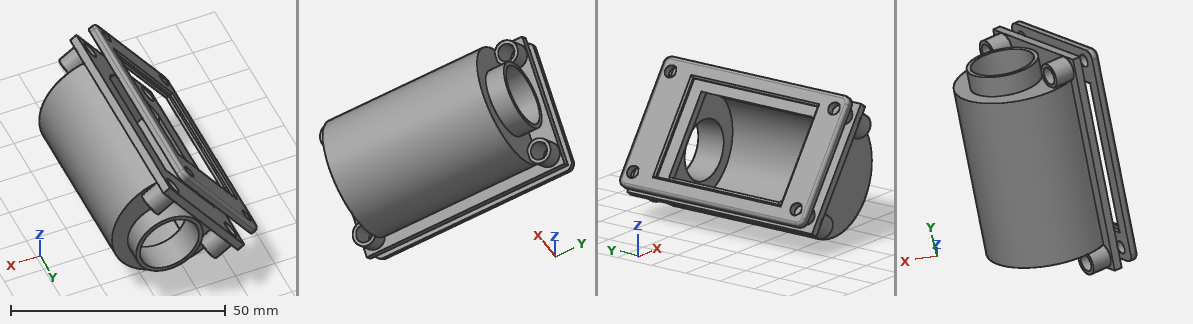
import cadquery as cq
import math

TILT = 55.0

length = 54.0
width = 33.05
screw_x = 23.85
screw_y = 12.75
screw_points = [(sx * screw_x, sy * screw_y) for sx in (-1, 1) for sy in (-1, 1)]

bezel_thickness = 2.0
bezel_gap = 3.1
bezel_front = -bezel_gap - bezel_thickness
corner_radius = 2.0
front_fillet = 0.8
bezel_hole_diameter = 3.1
window_start = -19.5
window_end = 17.95
window_length = window_end - window_start
window_center = (window_start + window_end) / 2
window_width = 26.05
window_chamfer = 0.5
glass_recess_depth = bezel_thickness / 2
glass_recess_margin = 0.45

plate_thickness = 2.0
shell_radius = 15.0
shell_half_length = 21.05
axis_depth = 8.05
shell_wall = 1.5
cavity_radius = shell_radius - shell_wall
cavity_start = -shell_half_length + shell_wall
cavity_end = 18.5
pocket_depth = 10.5
opening_end = 17.15
opening_radius = window_width / 2
opening_arc_center = -7.8
boss_diameter = 6.0
boss_height = 5.0
insert_diameter = 4.2
tube_outer_diameter = 17.0
tube_bore_diameter = 15.0
tube_end = 26.0
tube_depth = 11.1


def slab(x_start, x_end, y_size, z_start, z_end):
    """Box between given X and Z limits, centred on Y."""
    size = (x_end - x_start, y_size, z_end - z_start)
    return cq.Workplane().box(*size, centered=(False, True, False)).translate((x_start, 0, z_start))


def cylinder_along_x(radius, x_start, x_end, depth):
    """Cylinder along the long direction, with its axis at the given depth."""
    return cq.Workplane("YZ", origin=(x_start, 0, depth)).circle(radius).extrude(x_end - x_start)


def screw_cylinders(diameter, z_start, z_end):
    """One cylinder at each of the four screw positions."""
    plane = cq.Workplane(origin=(0, 0, z_start))
    return plane.pushPoints(screw_points).circle(diameter / 2).extrude(z_end - z_start)


def make_bezel():
    frame = slab(-length / 2, length / 2, width, bezel_front, -bezel_gap)
    frame = frame.edges("|Z").fillet(corner_radius)
    frame = frame.faces("<Z").edges().fillet(front_fillet)

    lip_length = window_length - 2 * window_chamfer
    lip_width = window_width - 2 * window_chamfer
    lip_opening = slab(
        window_center - lip_length / 2, window_center + lip_length / 2, lip_width, bezel_front, -bezel_gap
    )
    bevel = (
        cq.Workplane(origin=(window_center, 0, bezel_front))
        .rect(window_length, window_width)
        .workplane(offset=window_chamfer)
        .rect(lip_length, lip_width)
        .loft(ruled=True)
    )

    glass_recess = slab(
        window_start - glass_recess_margin,
        window_end + glass_recess_margin,
        window_width + 2 * glass_recess_margin,
        -bezel_gap - glass_recess_depth,
        -bezel_gap,
    )
    holes = screw_cylinders(bezel_hole_diameter, bezel_front, -bezel_gap)
    return frame.cut(lip_opening).cut(bevel).cut(glass_recess).cut(holes)


def make_cavity():
    """Opening through the plate, straight-walled pocket behind it, and round floor."""
    bore = cylinder_along_x(cavity_radius, cavity_start, cavity_end, axis_depth)

    slot = slab(opening_arc_center, opening_end, 2 * opening_radius, 0, plate_thickness)
    round_end = cq.Workplane(origin=(opening_arc_center, 0, 0)).circle(opening_radius).extrude(plate_thickness)
    opening = bore.intersect(slot.union(round_end))

    pocket = slab(cavity_start, cavity_end, 2 * opening_radius, plate_thickness, pocket_depth)
    floor_zone = slab(cavity_start, cavity_end, 2 * cavity_radius, pocket_depth, axis_depth + cavity_radius)
    return opening.union(pocket).union(bore.intersect(floor_zone))


def make_housing():
    plate = slab(-length / 2, length / 2, width, 0, plate_thickness)

    shell = cylinder_along_x(shell_radius, -shell_half_length, shell_half_length, axis_depth)
    shell = shell.intersect(
        slab(-shell_half_length, shell_half_length, 2 * shell_radius, 0, axis_depth + shell_radius)
    )
    tube = cylinder_along_x(tube_outer_diameter / 2, cavity_end, tube_end, tube_depth)
    boss_end = plate_thickness + boss_height
    bosses = screw_cylinders(boss_diameter, 0, boss_end)
    solid = plate.union(shell).union(tube).union(bosses)

    bore = cylinder_along_x(tube_bore_diameter / 2, cavity_end, tube_end, tube_depth)
    inserts = screw_cylinders(insert_diameter, 0, boss_end)
    return solid.cut(make_cavity()).cut(bore).cut(inserts)


tilt = math.radians(TILT)
inclined = cq.Plane(origin=(0, 0, 0), xDir=(0, 1, 0), normal=(math.sin(tilt), 0, -math.cos(tilt)))

bezel = make_bezel().val().moved(inclined.location)
housing = make_housing().val().moved(inclined.location)

result = cq.Compound.makeCompound([*bezel.Solids(), *housing.Solids()])